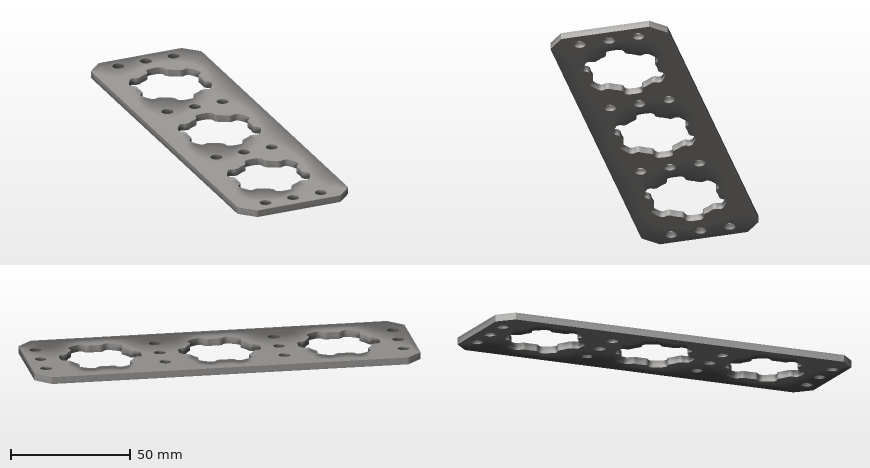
import cadquery as cq
import math

hole_pitch_x = 50.8
bay_count = 3
edge_margin = 6.095
plate_length = bay_count * hole_pitch_x + 2 * edge_margin
plate_width = 50.8
plate_thickness = 3.0
corner_chamfer = 6.35

hole_diameter = 5.0
hole_pitch_y = plate_width / 4
holes_per_column = 3

bore_radius = 14.3
lobe_count = 6
lobe_tip_radius = 17.45
lobe_width = 8.0
lobe_corner_radius = 2.0
lobe_root_radius = 2.0
root_tolerance = 0.01


def make_plate():
    """Flat plate, bottom face on Z = 0, with its four corners cut off."""
    plate = cq.Workplane("XY").box(plate_length, plate_width, plate_thickness, centered=(True, True, False))
    return plate.edges("|Z").chamfer(corner_chamfer)


def make_mounting_holes():
    """Columns of small through holes at both ends of every bay."""
    return (
        cq.Workplane("XY")
        .rarray(hole_pitch_x, hole_pitch_y, bay_count + 1, holes_per_column)
        .circle(hole_diameter / 2)
        .extrude(plate_thickness)
    )


def make_lobe():
    """Radial lobe along +X: straight sides, rounded corners and an arc tip centred on the bore."""
    half_width = lobe_width / 2
    shoulder_x = math.sqrt(lobe_tip_radius**2 - half_width**2)
    return (
        cq.Workplane("XY")
        .moveTo(0, -half_width)
        .lineTo(shoulder_x, -half_width)
        .threePointArc((lobe_tip_radius, 0), (shoulder_x, half_width))
        .lineTo(0, half_width)
        .close()
        .extrude(plate_thickness)
        .edges("|Z and (not <X)")
        .fillet(lobe_corner_radius)
    )


def make_lobed_opening():
    """Round bore with equally spaced lobes, the first along +X, blended into the bore at their roots."""
    opening = cq.Workplane("XY").circle(bore_radius).extrude(plate_thickness)
    lobe = make_lobe()
    for index in range(lobe_count):
        angle = index * 360 / lobe_count
        opening = opening.union(lobe.rotate((0, 0, 0), (0, 0, 1), angle))
    mid_height = cq.Vector(0, 0, plate_thickness / 2)
    root_edges = [
        edge
        for edge in opening.edges("|Z").vals()
        if abs((edge.Center() - mid_height).Length - bore_radius) < root_tolerance
    ]
    return opening.newObject(root_edges).fillet(lobe_root_radius)


result = make_plate().cut(make_mounting_holes())
lobed_opening = make_lobed_opening()
for bay in range(bay_count):
    bay_center_x = (bay - (bay_count - 1) / 2) * hole_pitch_x
    result = result.cut(lobed_opening.translate((bay_center_x, 0, 0)))